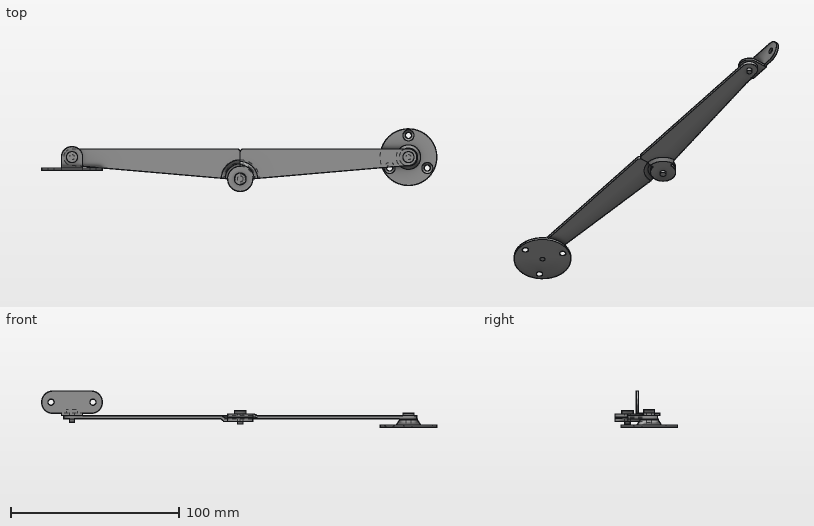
import cadquery as cq
import math


flange_radius = 17.0
flange_thickness = 1.5
hub_base_radius = 7.3
hub_top_radius = 5.5
screw_circle_radius = 13.0
screw_count = 3
first_screw_angle = 90
countersink_radius = 3.3
screw_hole_radius = 1.76

sheet_thickness = 1.5
plate_length = 36.2
plate_height = 13.5
plate_top = 21.6
plate_hole_spacing = 25.0
foot_radius = 6.4
plate_middle = plate_top - plate_height / 2

overall_length = 235.2
arm_pitch = (overall_length - plate_length / 2 - flange_radius) / 2
axis_offset = 13.0
arm_thickness = 2.0
arm_bottom = 5.0
arm_end_radius = 5.0
seam_corner_radius = 1.9
arm_top = arm_bottom + arm_thickness
arm_middle = arm_bottom + arm_thickness / 2
foot_top = arm_top + sheet_thickness

knee_washer_thickness = 0.59
knee_washer_radius = 3.0
flange_washer_thickness = 0.7
flange_washer_radius = 5.5
hub_top = arm_bottom - flange_washer_thickness

eye_radius = 7.5
knee_middle = 5.7
eye_offset = (arm_thickness + knee_washer_thickness) / 2
right_step = knee_middle + eye_offset - arm_middle
left_step = arm_middle - (knee_middle - eye_offset)
right_boss_top_radius = 8.2
right_boss_base_radius = 10.4
left_boss_top_radius = 9.6
left_boss_base_radius = 11.5
recess_floor_radius = 9.0
recess_mouth_radius = 11.3
eye_top = arm_top + right_step
knee_bottom = arm_bottom - left_step

knee_head_radius = 3.5
knee_shank_radius = 1.76
end_head_radius = 3.3
end_shank_radius = 1.5
thick_head = 2.0
thin_head = 1.5
knee_tail = 1.5
bracket_tail = 2.0


def cylinder(x, y, bottom, top, radius):
    return cq.Workplane("XY", origin=(x, y, bottom)).circle(radius).extrude(top - bottom)


def cone(x, y, bottom, top, bottom_radius, top_radius):
    solid = cq.Solid.makeCone(bottom_radius, top_radius, top - bottom, cq.Vector(x, y, bottom))
    return cq.Workplane(solid)


def arm_outline(bottom, top):
    """Tapered blank from the seam at X = 0 to the round far end."""
    back = axis_offset + arm_end_radius
    run = arm_pitch - eye_radius
    distance = math.hypot(run, axis_offset)
    edge_angle = math.atan2(axis_offset, run) - math.asin(arm_end_radius / distance)
    tangent_x = arm_pitch + arm_end_radius * math.sin(edge_angle)
    tangent_y = axis_offset - arm_end_radius * math.cos(edge_angle)
    return (
        cq.Workplane("XY", origin=(0, 0, bottom))
        .lineTo(eye_radius, 0)
        .lineTo(tangent_x, tangent_y)
        .threePointArc((arm_pitch + arm_end_radius, axis_offset), (arm_pitch, back))
        .lineTo(seam_corner_radius, back)
        .radiusArc((0, back - seam_corner_radius), -seam_corner_radius)
        .close()
        .extrude(top - bottom)
    )


def make_arm(step, boss_top_radius, boss_base_radius):
    """Arm to the right of the knee, with its eye stepped upwards."""
    boss_top = arm_top + step
    boss = cone(0, 0, arm_top, boss_top, boss_base_radius, boss_top_radius)
    recess = cone(0, 0, arm_bottom, arm_bottom + step, recess_mouth_radius, recess_floor_radius)
    eye = cylinder(0, 0, arm_bottom + step, boss_top, eye_radius)
    arm = arm_outline(arm_bottom, arm_top).union(boss.intersect(arm_outline(arm_top, boss_top)))
    arm = arm.cut(recess).union(eye)
    arm = arm.cut(cylinder(0, 0, arm_bottom, boss_top, knee_shank_radius))
    return arm.cut(cylinder(arm_pitch, axis_offset, arm_bottom, arm_top, end_shank_radius))


def make_bracket():
    """Upright plate with a round-ended foot lying on the left arm."""
    face_y = axis_offset - foot_radius
    plate = (
        cq.Workplane("XZ", origin=(-arm_pitch, face_y, plate_middle))
        .slot2D(plate_length, plate_height)
        .extrude(sheet_thickness)
    )
    neck = cq.Workplane("XY").box(
        2 * foot_radius, sheet_thickness, plate_middle - arm_top, centered=(True, False, False)
    ).translate((-arm_pitch, face_y - sheet_thickness, arm_top))
    foot = cq.Workplane("XY").box(
        2 * foot_radius, foot_radius, sheet_thickness, centered=(True, False, False)
    ).translate((-arm_pitch, face_y, arm_top))
    foot_end = cylinder(-arm_pitch, axis_offset, arm_top, foot_top, foot_radius)
    screw_holes = (
        cq.Workplane("XZ", origin=(-arm_pitch, face_y, plate_middle))
        .rarray(plate_hole_spacing, 2.4, 2, 1)
        .circle(screw_hole_radius)
        .extrude(sheet_thickness)
    )
    rivet_hole = cylinder(-arm_pitch, axis_offset, arm_top, foot_top, end_shank_radius)
    return plate.union(neck).union(foot).union(foot_end).cut(screw_holes).cut(rivet_hole)


def make_flange():
    """Round base with a conical hub and countersunk screw holes."""
    flange = cylinder(arm_pitch, axis_offset, 0, flange_thickness, flange_radius)
    flange = flange.union(
        cone(arm_pitch, axis_offset, flange_thickness, hub_top, hub_base_radius, hub_top_radius)
    )
    for index in range(screw_count):
        angle = math.radians(first_screw_angle + index * 360 / screw_count)
        x = arm_pitch + screw_circle_radius * math.cos(angle)
        y = axis_offset + screw_circle_radius * math.sin(angle)
        flange = flange.cut(cone(x, y, 0, flange_thickness, screw_hole_radius, countersink_radius))
    return flange.cut(cylinder(arm_pitch, axis_offset, 0, hub_top, end_shank_radius))


def make_washer(x, y, bottom, thickness, radius, bore_radius):
    top = bottom + thickness
    return cylinder(x, y, bottom, top, radius).cut(cylinder(x, y, bottom, top, bore_radius))


def make_rivet(x, y, shank_bottom, seat, head_thickness, head_radius, shank_radius):
    """Headed pin whose head bears on the surface at height seat."""
    head = cylinder(x, y, seat, seat + head_thickness, head_radius)
    return cylinder(x, y, shank_bottom, seat, shank_radius).union(head)


right_arm = make_arm(right_step, right_boss_top_radius, right_boss_base_radius)
left_arm = make_arm(left_step, left_boss_top_radius, left_boss_base_radius).rotate(
    (0, 0, arm_middle), (0, 1, arm_middle), 180
)
bracket = make_bracket()
flange = make_flange()

knee_washer = make_washer(
    0, 0, knee_middle - knee_washer_thickness / 2,
    knee_washer_thickness, knee_washer_radius, knee_shank_radius,
)
flange_washer = make_washer(
    arm_pitch, axis_offset, hub_top,
    flange_washer_thickness, flange_washer_radius, end_shank_radius,
)

knee_rivet = make_rivet(
    0, 0, knee_bottom - knee_tail, eye_top, thick_head, knee_head_radius, knee_shank_radius
)
bracket_rivet = make_rivet(
    -arm_pitch, axis_offset, arm_bottom - bracket_tail, foot_top,
    thick_head, end_head_radius, end_shank_radius,
)
flange_rivet = make_rivet(
    arm_pitch, axis_offset, 0, arm_top, thin_head, end_head_radius, end_shank_radius
)

result = cq.Compound.makeCompound([
    left_arm.val(),
    right_arm.val(),
    bracket.val(),
    flange.val(),
    knee_washer.val(),
    flange_washer.val(),
    knee_rivet.val(),
    bracket_rivet.val(),
    flange_rivet.val(),
])